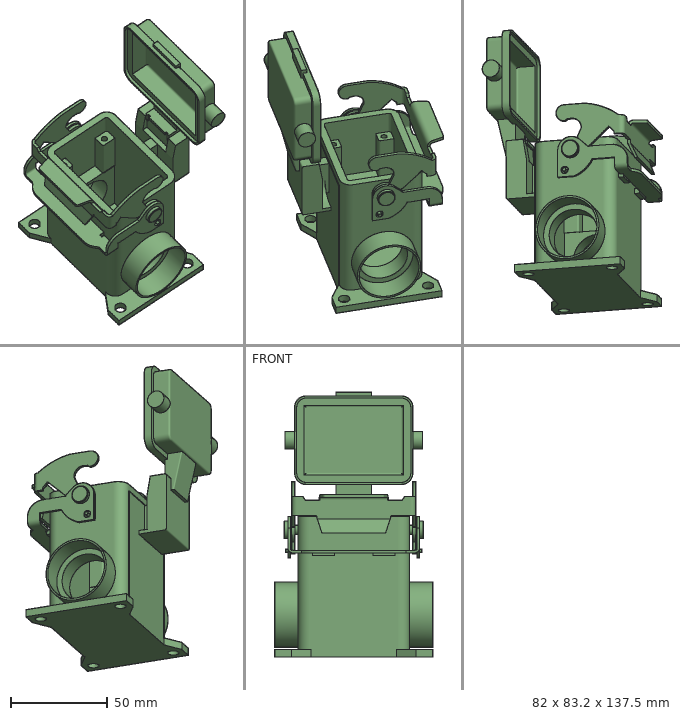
import cadquery as cq
import math


PLATE_X = 82.0
PLATE_Y = 56.8
PLATE_T = 4.0
EAR_X = 32.2
EAR_ROOT_X = 22.2
MOUNT_HOLE_D = 5.8
MOUNT_HOLE_X = 35.0
MOUNT_HOLE_Y = 22.5

BODY_X = 58.0
BODY_Y = 44.0
BODY_Z = 73.0
BODY_R = 6.0
PAD_T = 0.4
RIM_H = 4.0
CAVITY_X = 50.4
CAVITY_Y = 36.0
CAVITY_R = 1.5
LEDGE_Z = 37.0
WELL_X = 38.0
POST_X = 6.5
POST_Y = 8.0
POST_TOP = 61.0
POST_R = 1.0
SCREW_D = 3.0
SCREW_DEPTH = 10.0
SCREW_X = 21.8
SCREW_Y = 13.5

ENTRY_Z = 22.0
ENTRY_OD = 34.0
ENTRY_ID = 32.0
ENTRY_BORE = 26.0

HINGE_X = 30.6
HINGE_FRONT = 29.0
HINGE_BACK = 39.9
HINGE_NOSE = 30.8
HINGE_BOTTOM = 47.5
HINGE_TOP = 79.0
HINGE_R = 0.8
SLOPE_Z = 68.6
FOOT_FRONT = 24.4
FOOT_T = 2.0
WEB_X = 5.6
WEB_TOP = 68.5
WEB_FILLET = 8.0

LID_Z = 112.5
FLANGE_X = 61.4
FLANGE_H = 46.0
FLANGE_FRONT = 33.9
FLANGE_BACK = 38.0
FLANGE_R = 6.0
SHELL_X = 55.4
SHELL_H = 40.0
SHELL_BACK = 47.3
SHELL_R = 3.0
EDGE_R = 1.0
SEAT_INSET = 1.1
SEAT_DEPTH = 1.6
POCKET_X = 51.4
POCKET_H = 36.0
POCKET_WALL = 2.0
LID_PIN_D = 9.2
LID_PIN_SPAN = 71.4
TONGUE_X = 18.6
TAB_FRONT = 35.9
TAB_BACK = 38.9
TAB_TOP = 137.5
ARM_FRONT = 36.5
ARM_EDGE_R = 0.7
ARM_TIP_Y = 41.7
ARM_TIP_Z = 72.0
ARM_ROOT_Y = 46.6
CATCH_FRONT = 31.8
CATCH_Z = 80.0
CATCH_T = 1.0
CATCH_LEG_X = 1.4
CATCH_LEG_T = 0.6
CATCH_LEG_H = 5.0
CATCH_LIP_X = 13.0
CATCH_LIP_FRONT = 30.8
CATCH_LIP_H = 1.8

PIVOT_Z = 66.0
PIVOT_D = 5.0
HEAD_D = 9.2
HEAD_X = 36.3
HEAD_CHAMFER = 0.4
STOP_Y = 3.3
STOP_Z = 55.1
STOP_D = 1.8
STOP_HOLE_D = 3.8
STOP_X = 35.3

SHEET_T = 1.6
BEND_R = 2.7
BEND_OVERLAP = 1.0
UPPER_X = 32.2
UPPER_FRONT = -28.0
UPPER_BOTTOM = 73.4
UPPER_TOP = 83.4
LEG_R = 6.5
LEG_FRONT = -2.0
LEG_BOTTOM = 53.5
NOTCH_DEPTH = 2.0
NOTCH_OUTER = 26.5
NOTCH_SLOPE = 1.5
GRIP_END = -35.93
GRIP_TOP = 84.4
GRIP_CORNER_R = 1.5
GRIP_ROOT_X = 18.0
GRIP_END_X = 15.6
FLAP_BEND_Z = 71.5
FLAP_BOTTOM = 64.3
FLAP_END_Y = -31.2
FLAP_ROOT_X = 19.5
FLAP_END_X = 16.5
LOWER_X = 34.2
LOWER_T = 1.5
LOWER_R = 7.0
LOWER_FRONT = -30.4
LOWER_BACK = -23.5
BAR_BOTTOM = 53.9
BAR_SLOT_X = 46.0
BAR_SLOT_Y = -25.0
LIP_END = -34.2
LIP_ROOT_X = 27.0
LIP_END_X = 19.0
STRAP_INNER = 10.0
STRAP_OUTER = 21.4
STRAP_BACK = -22.3
STRAP_BOTTOM = 52.8


def block(x0, x1, y0, y1, z0, z1):
    """Axis-aligned box between the given limits."""
    return cq.Workplane("XY").box(x1 - x0, y1 - y0, z1 - z0, centered=False).translate((x0, y0, z0))


def rod(x0, x1, y, z, diameter):
    """Cylinder along X."""
    return cq.Workplane("YZ", origin=(x0, y, z)).circle(diameter / 2).extrude(x1 - x0)


def upright_slab(width, height, front, back, z_centre):
    """Rectangular slab standing in the XZ plane, from front to back along Y."""
    plane = cq.Workplane("XZ", origin=(0, front, z_centre))
    return plane.rect(width, height).extrude(front - back)


def both_sides(shape):
    """The shape together with its mirror image about X = 0."""
    return shape.union(shape.mirror("YZ"))


def trapezoid(plane, root_x, root, end_x, end):
    """Symmetric four-sided outline that changes half width from root to end."""
    points = [(-root_x, root), (root_x, root), (end_x, end), (-end_x, end)]
    return plane.polyline(points).close()


def mounting_plate():
    half_x, half_y, root_y = PLATE_X / 2, PLATE_Y / 2, BODY_Y / 2
    outline = [
        (0, -root_y), (EAR_ROOT_X, -root_y), (EAR_X, -half_y), (half_x, -half_y),
        (half_x, half_y), (EAR_X, half_y), (EAR_ROOT_X, root_y), (0, root_y),
    ]
    plate = both_sides(cq.Workplane("XY").polyline(outline).close().extrude(PLATE_T))
    holes = cq.Workplane("XY").rect(2 * MOUNT_HOLE_X, 2 * MOUNT_HOLE_Y, forConstruction=True).vertices()
    return plate.cut(holes.circle(MOUNT_HOLE_D / 2).extrude(PLATE_T))


def cavity():
    height = BODY_Z - LEDGE_Z
    upper = cq.Workplane("XY", origin=(0, 0, LEDGE_Z)).rect(CAVITY_X, CAVITY_Y).extrude(height)
    upper = upper.edges("|Z").fillet(CAVITY_R)
    well = cq.Workplane("XY", origin=(0, 0, PLATE_T)).rect(WELL_X, CAVITY_Y).extrude(LEDGE_Z - PLATE_T)
    return upper.union(well)


def corner_posts():
    """Screw posts that stand on the ledge in the four cavity corners."""
    x1, y1 = CAVITY_X / 2, CAVITY_Y / 2
    post = block(x1 - POST_X, x1, y1 - POST_Y, y1, LEDGE_Z, POST_TOP)
    post = post.edges("|Z and <X and <Y").fillet(POST_R)
    hole = cq.Workplane("XY", origin=(SCREW_X, SCREW_Y, POST_TOP)).circle(SCREW_D / 2).extrude(-SCREW_DEPTH)
    rear = both_sides(post.cut(hole))
    return rear.union(rear.mirror("XZ"))


def housing():
    body = cq.Workplane("XY").rect(BODY_X, BODY_Y).extrude(BODY_Z).edges("|Z").fillet(BODY_R)
    pad_x = BODY_X / 2 - BODY_R
    pad = block(-pad_x, pad_x, 0, BODY_Y / 2 + PAD_T, 0, BODY_Z - RIM_H)
    half = PLATE_X / 2
    body = body.union(pad).union(mounting_plate()).union(rod(-half, half, 0, ENTRY_Z, ENTRY_OD))
    body = body.cut(cavity()).union(corner_posts())
    socket = rod(BODY_X / 2, half, 0, ENTRY_Z, ENTRY_ID)
    return body.cut(both_sides(socket)).cut(rod(-half, half, 0, ENTRY_Z, ENTRY_BORE))


def hinge_block():
    profile = [
        (HINGE_BACK, HINGE_BOTTOM), (HINGE_BACK, HINGE_TOP), (HINGE_NOSE, HINGE_TOP),
        (HINGE_FRONT, SLOPE_Z), (HINGE_FRONT, HINGE_BOTTOM),
    ]
    half = HINGE_X / 2
    hinge = cq.Workplane("YZ", origin=(-half, 0, 0)).polyline(profile).close().extrude(HINGE_X)
    hinge = hinge.edges("|X and >Y").fillet(HINGE_R)
    slot = block(-TONGUE_X / 2, TONGUE_X / 2, HINGE_FRONT, HINGE_BACK, SLOPE_Z, HINGE_TOP)
    foot_top = HINGE_BOTTOM + FOOT_T
    web_half = WEB_X / 2
    flare = (
        cq.Workplane("XZ", origin=(0, HINGE_FRONT, 0))
        .moveTo(-half, HINGE_BOTTOM)
        .lineTo(half, HINGE_BOTTOM)
        .lineTo(half, foot_top)
        .lineTo(web_half + WEB_FILLET, foot_top)
        .radiusArc((web_half, foot_top + WEB_FILLET), WEB_FILLET)
        .lineTo(-web_half, foot_top + WEB_FILLET)
        .radiusArc((-web_half - WEB_FILLET, foot_top), WEB_FILLET)
        .lineTo(-half, foot_top)
        .close()
        .extrude(HINGE_FRONT - FOOT_FRONT)
    )
    web = block(-web_half, web_half, BODY_Y / 2, HINGE_FRONT, foot_top, WEB_TOP)
    return hinge.cut(slot).union(flare).union(web)


def lid_arm():
    """Arm that hangs from the lid into the hinge slot, widened below the catch that faces the housing."""
    half = TONGUE_X / 2
    root_z = LID_Z - SHELL_H / 2 + EDGE_R
    top = CATCH_Z + CATCH_T
    profile = [
        (CATCH_FRONT, SLOPE_Z), (HINGE_BACK, SLOPE_Z), (HINGE_BACK, ARM_TIP_Z),
        (ARM_TIP_Y, ARM_TIP_Z), (ARM_ROOT_Y, root_z), (ARM_FRONT, root_z),
        (ARM_FRONT, top), (CATCH_FRONT, top),
    ]
    arm = cq.Workplane("YZ", origin=(-half, 0, 0)).polyline(profile).close().extrude(TONGUE_X)
    slope = cq.Vector(0, ARM_ROOT_Y - ARM_TIP_Y, root_z - ARM_TIP_Z)
    arm = arm.edges(cq.selectors.ParallelDirSelector(slope)).fillet(ARM_EDGE_R)
    lip_half = CATCH_LIP_X / 2
    lip = block(-lip_half, lip_half, CATCH_LIP_FRONT, CATCH_FRONT, top - CATCH_LIP_H, top)
    leg_front = CATCH_FRONT - CATCH_LEG_T
    leg = block(half - CATCH_LEG_X, half, leg_front, CATCH_FRONT, top - CATCH_LEG_H, top)
    return arm.union(lip).union(both_sides(leg))


def lid():
    flange = upright_slab(FLANGE_X, FLANGE_H, FLANGE_FRONT, FLANGE_BACK, LID_Z).edges("|Y").fillet(FLANGE_R)
    shell = upright_slab(SHELL_X, SHELL_H, FLANGE_FRONT, SHELL_BACK, LID_Z).edges("|Y").fillet(SHELL_R)
    shell = shell.faces(">Y").edges().fillet(EDGE_R)
    seat_x, seat_h = FLANGE_X - 2 * SEAT_INSET, FLANGE_H - 2 * SEAT_INSET
    seat = upright_slab(seat_x, seat_h, FLANGE_FRONT, FLANGE_FRONT + SEAT_DEPTH, LID_Z)
    seat = seat.edges("|Y").fillet(FLANGE_R - SEAT_INSET)
    pocket = upright_slab(POCKET_X, POCKET_H, FLANGE_FRONT, SHELL_BACK - POCKET_WALL, LID_Z)
    pocket = pocket.faces(">Y").edges().fillet(EDGE_R)
    half = TONGUE_X / 2
    tab = block(-half, half, TAB_FRONT, TAB_BACK, LID_Z + SHELL_H / 2 - EDGE_R, TAB_TOP)
    pin_y = FLANGE_BACK + LID_PIN_D / 2
    pins = rod(-LID_PIN_SPAN / 2, LID_PIN_SPAN / 2, pin_y, LID_Z, LID_PIN_D)
    solid = flange.union(shell).union(tab).union(pins).union(lid_arm())
    return solid.cut(seat).cut(pocket)


def upper_side():
    """Hooked side plate of the upper lever, with a leg that surrounds the pivot."""
    plane = cq.Workplane("YZ", origin=(UPPER_X - SHEET_T, 0, 0))
    hook = (
        plane.moveTo(4.3, 91.0)
        .lineTo(-7.2, 91.0)
        .threePointArc((-17.0, 88.3), (UPPER_FRONT + BEND_R, UPPER_TOP))
        .lineTo(UPPER_FRONT + BEND_R, UPPER_BOTTOM)
        .lineTo(-22.7, UPPER_BOTTOM)
        .lineTo(-22.7, 74.6)
        .lineTo(-19.9, 77.5)
        .lineTo(-9.2, 67.7)
        .lineTo(0, PIVOT_Z)
        .lineTo(-2.9, 73.0)
        .lineTo(-5.0, 77.7)
        .threePointArc((-3.7, 81.6), (0.6, 83.4))
        .lineTo(2.6, 83.2)
        .lineTo(3.6, 82.4)
        .lineTo(4.3, 82.4)
        .threePointArc((8.5, 86.7), (4.3, 91.0))
        .close()
        .extrude(SHEET_T)
    )
    boss = plane.center(0, PIVOT_Z).circle(LEG_R).extrude(SHEET_T)
    leg = block(UPPER_X - SHEET_T, UPPER_X, LEG_FRONT, LEG_R, LEG_BOTTOM, PIVOT_Z)
    return hook.union(boss).union(leg)


def grip_tab(root_z):
    """Tab that bends from the upper edge of the front plate to horizontal."""
    outer_r = GRIP_TOP - root_z
    inner_r = outer_r - SHEET_T
    bend_end = UPPER_FRONT - inner_r
    sheet = (
        cq.Workplane("YZ")
        .moveTo(UPPER_FRONT + SHEET_T, root_z)
        .radiusArc((bend_end, GRIP_TOP), -outer_r)
        .lineTo(GRIP_END, GRIP_TOP)
        .lineTo(GRIP_END, GRIP_TOP - SHEET_T)
        .lineTo(bend_end, GRIP_TOP - SHEET_T)
        .radiusArc((UPPER_FRONT, root_z), inner_r)
        .close()
        .extrude(GRIP_ROOT_X, both=True)
    )
    plane = cq.Workplane("XY", origin=(0, 0, root_z))
    mask = trapezoid(plane, GRIP_ROOT_X, UPPER_FRONT + SHEET_T, GRIP_END_X, GRIP_END).extrude(outer_r)
    return sheet.intersect(mask.edges("|Z and <Y").fillet(GRIP_CORNER_R))


def finger_flap():
    """Flap that slopes outward below the front plate."""
    profile = [
        (UPPER_FRONT, UPPER_BOTTOM), (UPPER_FRONT, FLAP_BEND_Z), (FLAP_END_Y, FLAP_BOTTOM),
        (FLAP_END_Y + SHEET_T, FLAP_BOTTOM), (UPPER_FRONT + SHEET_T, FLAP_BEND_Z),
        (UPPER_FRONT + SHEET_T, UPPER_BOTTOM),
    ]
    flap = cq.Workplane("YZ").polyline(profile).close().extrude(FLAP_ROOT_X, both=True)
    mask = trapezoid(cq.Workplane("XZ"), FLAP_ROOT_X, UPPER_BOTTOM, FLAP_END_X, FLAP_BOTTOM)
    return flap.intersect(mask.extrude(-FLAP_END_Y))


def upper_lever():
    back = UPPER_FRONT + BEND_R + BEND_OVERLAP
    inner_x = UPPER_X - SHEET_T
    front = block(-UPPER_X, UPPER_X, UPPER_FRONT, back, UPPER_BOTTOM, UPPER_TOP)
    front = front.edges("|Z and <Y").fillet(BEND_R)
    gap = block(-inner_x, inner_x, UPPER_FRONT + SHEET_T, back, UPPER_BOTTOM, UPPER_TOP)
    front = front.cut(gap.edges("|Z and <Y").fillet(BEND_R - SHEET_T))
    notch_z = UPPER_TOP - NOTCH_DEPTH
    notch_plane = cq.Workplane("XZ", origin=(0, back, 0))
    notch = trapezoid(notch_plane, NOTCH_OUTER, UPPER_TOP, NOTCH_OUTER - NOTCH_SLOPE, notch_z)
    front = front.cut(notch.extrude(back - UPPER_FRONT))
    return front.union(grip_tab(notch_z)).union(finger_flap()).union(both_sides(upper_side()))


def lower_side():
    """Side plate of the lower lever: rounded over the pivot, with an arm to the front bar."""
    bend_top = BAR_BOTTOM + BEND_R
    diagonal = LOWER_R * math.sqrt(0.5)
    plane = cq.Workplane("YZ", origin=(LOWER_X - LOWER_T, 0, 0))
    plate = (
        plane.moveTo(LOWER_R, 51.5)
        .lineTo(LOWER_R, PIVOT_Z)
        .threePointArc((0, PIVOT_Z + LOWER_R), (-diagonal, PIVOT_Z + diagonal))
        .lineTo(-9.2, 67.0)
        .lineTo(-22.0, 67.0)
        .threePointArc((-28.1, 64.4), (LOWER_FRONT, 59.0))
        .lineTo(LOWER_FRONT, bend_top)
        .lineTo(LOWER_BACK, bend_top)
        .lineTo(LOWER_BACK, 60.0)
        .lineTo(-11.5, 60.0)
        .threePointArc((-7.5, 54.9), (-1.7, 51.5))
        .close()
        .extrude(LOWER_T)
    )
    return plate.cut(rod(UPPER_X, LOWER_X, STOP_Y, STOP_Z, STOP_HOLE_D))


def lower_lever():
    bend_top = BAR_BOTTOM + BEND_R + BEND_OVERLAP
    inner_x = LOWER_X - LOWER_T
    bar = block(-LOWER_X, LOWER_X, LOWER_FRONT, LOWER_BACK, BAR_BOTTOM, bend_top)
    bar = bar.edges("|Y and <Z").fillet(BEND_R)
    bar_top = BAR_BOTTOM + LOWER_T
    gap = block(-inner_x, inner_x, LOWER_FRONT, LOWER_BACK, bar_top, bend_top)
    bar = bar.cut(gap.edges("|Y and <Z").fillet(BEND_R - LOWER_T))
    bar = bar.cut(block(-BAR_SLOT_X / 2, BAR_SLOT_X / 2, BAR_SLOT_Y, LOWER_BACK, BAR_BOTTOM, bar_top))
    lip = (
        cq.Workplane("XY", origin=(0, 0, BAR_BOTTOM))
        .moveTo(-LIP_ROOT_X, LOWER_FRONT)
        .spline([(-LIP_END_X, LIP_END)], tangents=[(1, -1), (1, 0)], includeCurrent=True)
        .lineTo(LIP_END_X, LIP_END)
        .spline([(LIP_ROOT_X, LOWER_FRONT)], tangents=[(1, 0), (1, 1)], includeCurrent=True)
        .close()
        .extrude(LOWER_T)
    )
    strap = block(STRAP_INNER, STRAP_OUTER, BAR_SLOT_Y, STRAP_BACK, STRAP_BOTTOM, bar_top)
    return bar.union(lip).union(both_sides(strap)).union(both_sides(lower_side()))


def pivots():
    shaft = rod(CAVITY_X / 2, LOWER_X, 0, PIVOT_Z, PIVOT_D)
    head = rod(LOWER_X, HEAD_X, 0, PIVOT_Z, HEAD_D).faces(">X").chamfer(HEAD_CHAMFER)
    stop = rod(UPPER_X - SHEET_T, STOP_X, STOP_Y, STOP_Z, STOP_D)
    return both_sides(shaft.union(head).union(stop))


result = housing().union(hinge_block()).union(lid())
result = result.union(upper_lever()).union(lower_lever()).union(pivots())